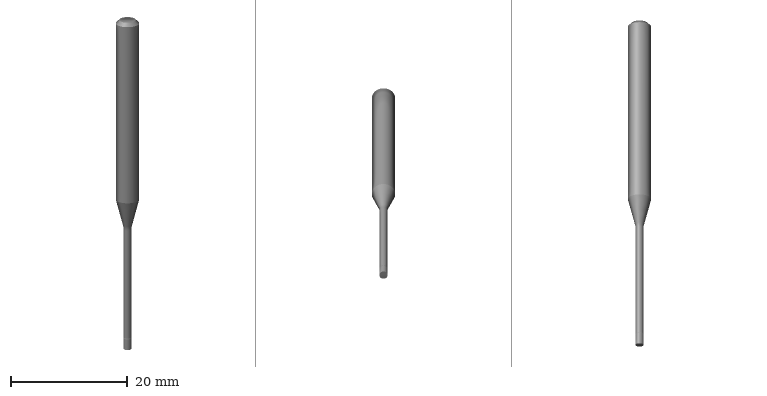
import cadquery as cq
import math

total_length = 60.0
shank_diameter = 4.0
end_chamfer = 0.6
shank_bottom = 27.25

neck_diameter = 1.4
neck_top = 21.85
cone_half_angle = math.radians(15)
fillet_height = 0.65

tip_diameter = 1.45
tip_length = 1.9
relief_height = 0.2

shank_radius = shank_diameter / 2
neck_radius = neck_diameter / 2
tip_radius = tip_diameter / 2
fillet_radius = fillet_height / math.sin(cone_half_angle)


def fillet_point(angle):
    """Radius and height on the neck fillet, at an angle turned from the neck wall."""
    return (
        neck_radius + fillet_radius * (1 - math.cos(angle)),
        neck_top + fillet_radius * math.sin(angle),
    )


def make_holder():
    """Chamfered shank, cone, fillet and neck, with a relief cone that meets the tip."""
    return (
        cq.Workplane("XZ")
        .moveTo(0, tip_length)
        .lineTo(tip_radius, tip_length)
        .lineTo(neck_radius, tip_length + relief_height)
        .lineTo(neck_radius, neck_top)
        .threePointArc(fillet_point(cone_half_angle / 2), fillet_point(cone_half_angle))
        .lineTo(shank_radius, shank_bottom)
        .lineTo(shank_radius, total_length - end_chamfer)
        .lineTo(shank_radius - end_chamfer, total_length)
        .lineTo(0, total_length)
        .close()
        .revolve(360, (0, 0), (0, 1))
    )


def make_cutting_tip():
    """Plain cylinder on the end of the neck."""
    return cq.Workplane("XY").circle(tip_radius).extrude(tip_length)


holder = make_holder()
cutting_tip = make_cutting_tip()

result = cq.Compound.makeCompound([holder.val(), cutting_tip.val()])